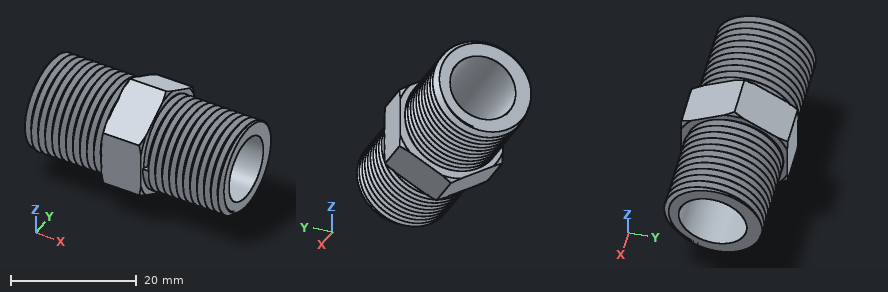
import cadquery as cq
import math

length = 35.8
bore_radius = 5.6

hex_start = 14.25
hex_end = 21.47
across_flats = 17.45
across_corners = across_flats / math.cos(math.pi / 6)
corner_chamfer_depth = 0.8
corner_chamfer_length = 0.32

threads_over_length = 28.2
pitch = length / threads_over_length
left_radius = 8.3
left_depth = 1.05
right_radius = 8.12
right_depth = 0.95
left_groove_stop = 14.53
right_groove_start = 21.85
crest_flat = 0.02
cutter_clearance = 0.007
overrun = 5 * pitch


def cylinder(start, end, radius):
    return cq.Workplane("YZ", origin=(start, 0, 0)).circle(radius).extrude(end - start)


def groove_cutter(root_start, turns, radius, depth):
    """V-section swept along a left-hand helix that starts on the -Y side."""
    half_width = (pitch - crest_flat) / 2
    root_radius = radius - depth
    mouth_radius = radius + cutter_clearance
    path = cq.Wire.makeHelix(pitch, turns * pitch, radius, lefthand=True)
    section = (
        cq.Workplane("XZ")
        .moveTo(root_radius, 0)
        .lineTo(mouth_radius, -half_width)
        .lineTo(mouth_radius, half_width)
        .close()
    )
    cutter = section.sweep(cq.Workplane(path), isFrenet=True)
    cutter = cutter.rotate((0, 0, 0), (0, 1, 0), 90)
    cutter = cutter.rotate((0, 0, 0), (1, 0, 0), -90)
    return cutter.translate((root_start, 0, 0))


def threaded_stub(start, end, radius, depth, root_start, turns):
    """Groove an over-long blank, then trim it to length."""
    blank = cylinder(start - overrun, end + overrun, radius)
    threaded = blank.cut(groove_cutter(root_start, turns, radius, depth))
    return threaded.intersect(cylinder(start, end, 2 * radius))


def hex_collar():
    width = hex_end - hex_start
    prism = (
        cq.Workplane("YZ", origin=(hex_start, 0, 0))
        .polygon(6, across_corners)
        .extrude(width)
        .rotate((0, 0, 0), (1, 0, 0), 90)
    )
    outer_radius = across_corners / 2
    face_radius = outer_radius - corner_chamfer_depth
    envelope = (
        cq.Workplane("XY")
        .moveTo(hex_start, 0)
        .lineTo(hex_start, face_radius)
        .lineTo(hex_start + corner_chamfer_length, outer_radius)
        .lineTo(hex_end - corner_chamfer_length, outer_radius)
        .lineTo(hex_end, face_radius)
        .lineTo(hex_end, 0)
        .close()
        .revolve(360, (0, 0, 0), (1, 0, 0))
    )
    return prism.intersect(envelope)


left_turns = math.ceil(left_groove_stop / pitch) + 1
right_turns = math.ceil((length - right_groove_start) / pitch) + 1
left_groove_start = left_groove_stop - left_turns * pitch

middle = (hex_start + hex_end) / 2
left_stub = threaded_stub(0, middle, left_radius, left_depth, left_groove_start, left_turns)
right_stub = threaded_stub(
    middle, length, right_radius, right_depth, right_groove_start, right_turns
)

body = hex_collar().union(left_stub).union(right_stub)
result = body.cut(cylinder(0, length, bore_radius))